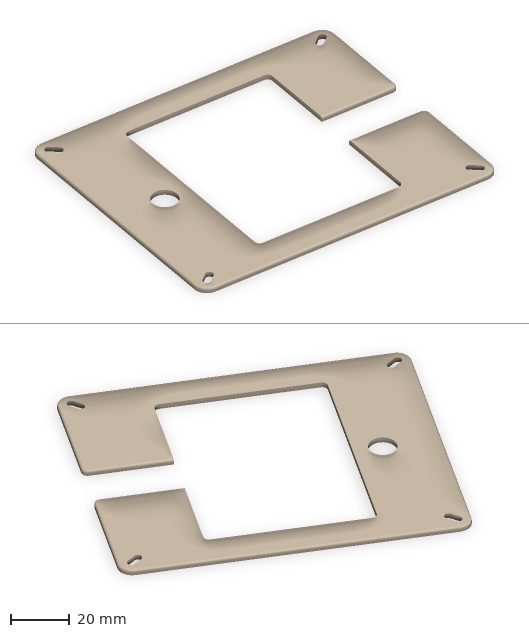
import cadquery as cq

WIDTH = 102.9
LENGTH = 123.4
THICKNESS = 2.0
CORNER_RADIUS = 5.0
EDGE_ROUNDING = 0.9

WINDOW_WIDTH = 79.5
WINDOW_TOP = 29.9
WINDOW_BOTTOM = -30.6
WINDOW_CORNER_RADIUS = 2.0

GAP_CENTER_X = -0.5
GAP_WIDTH = 16.0
GAP_CORNER_RADIUS = 2.2

HOLE_DIAMETER = 10.0
HOLE_Y = -41.1

SLOT_WIDTH = 3.0
SLOT_LENGTH = 6.7
SLOT_X = 45.5
SLOT_Y = 55.5
SLOT_ANGLE = 50


def make_plate():
    """Rounded plate split by the entry gap, with its outer top edges rounded."""
    plate = cq.Workplane("XY").rect(WIDTH, LENGTH).extrude(THICKNESS)
    plate = plate.edges("|Z").fillet(CORNER_RADIUS)
    gap_length = LENGTH / 2 - WINDOW_TOP
    gap = (
        cq.Workplane("XY")
        .center(GAP_CENTER_X, LENGTH / 2 - gap_length / 2)
        .rect(GAP_WIDTH, gap_length)
        .extrude(THICKNESS)
    )
    plate = plate.cut(gap)
    for side in (-1, 1):
        mouth_corner = (GAP_CENTER_X + side * GAP_WIDTH / 2, LENGTH / 2, THICKNESS / 2)
        plate = plate.edges(cq.NearestToPointSelector(mouth_corner)).fillet(GAP_CORNER_RADIUS)
    return plate.faces(">Z").edges().fillet(EDGE_ROUNDING)


def make_window():
    """Cutter whose length also removes the rounding at the closed end of the gap."""
    window_length = WINDOW_TOP - WINDOW_BOTTOM
    return (
        cq.Workplane("XY")
        .center(0, (WINDOW_TOP + WINDOW_BOTTOM) / 2)
        .rect(WINDOW_WIDTH, window_length)
        .extrude(THICKNESS)
        .edges("|Z")
        .fillet(WINDOW_CORNER_RADIUS)
    )


def make_corner_slots():
    """Four slots, each pointing obliquely outward to its corner."""
    slots = cq.Workplane("XY")
    for side_x in (-1, 1):
        for side_y in (-1, 1):
            slot = (
                cq.Workplane("XY")
                .center(side_x * SLOT_X, side_y * SLOT_Y)
                .slot2D(SLOT_LENGTH, SLOT_WIDTH, side_x * side_y * SLOT_ANGLE)
                .extrude(THICKNESS)
            )
            slots = slots.add(slot)
    return slots.combine()


hole = cq.Workplane("XY").center(GAP_CENTER_X, HOLE_Y).circle(HOLE_DIAMETER / 2).extrude(THICKNESS)

result = make_plate().cut(make_window()).cut(hole).cut(make_corner_slots())